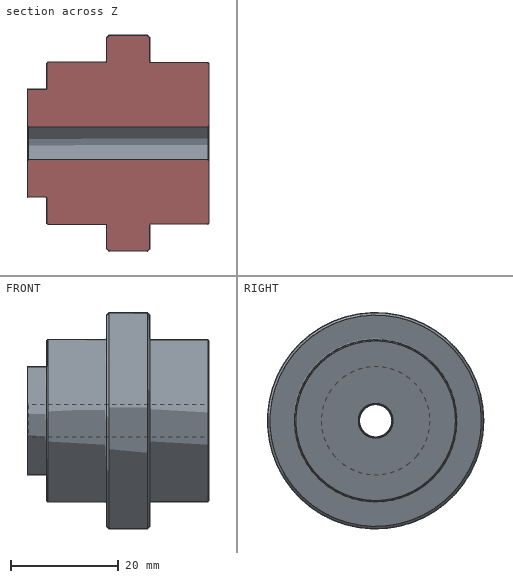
import cadquery as cq

flange_diameter = 40.3
front_hub_diameter = 30.3
rear_hub_diameter = 30.2
spigot_diameter = 20.2
bore_diameter = 6.0

total_length = 33.8
spigot_length = 3.6
front_hub_length = 11.12
flange_width = 8.1

flange_chamfer = 0.5
hub_chamfer = 0.25
bore_chamfer = 0.25
root_fillet = 0.2

flange_start = spigot_length + front_hub_length
flange_end = flange_start + flange_width
rear_hub_length = total_length - flange_end


def cylinder(start, length, diameter):
    """Solid cylinder on the X axis, beginning at X = start."""
    return cq.Workplane("YZ", origin=(start, 0, 0)).circle(diameter / 2).extrude(length)


def root_edge(body, x, diameter):
    """Circular edge of the given diameter at position x."""
    margin = root_fillet / 2
    half_side = diameter / 2 + margin
    return body.edges(
        cq.selectors.BoxSelector(
            (x - margin, -half_side, -half_side),
            (x + margin, half_side, half_side),
            boundingbox=True,
        )
    )


spigot = cylinder(0, spigot_length, spigot_diameter)
front_hub = (
    cylinder(spigot_length, front_hub_length, front_hub_diameter)
    .faces("<X").edges().chamfer(hub_chamfer)
)
flange = cylinder(flange_start, flange_width, flange_diameter).edges("%CIRCLE").chamfer(flange_chamfer)
rear_hub = (
    cylinder(flange_end, rear_hub_length, rear_hub_diameter)
    .faces(">X").edges().chamfer(hub_chamfer)
)
body = spigot.union(front_hub).union(flange).union(rear_hub)

for x, diameter in (
    (spigot_length, spigot_diameter),
    (flange_start, front_hub_diameter),
    (flange_end, rear_hub_diameter),
):
    body = root_edge(body, x, diameter).fillet(root_fillet)

body = body.cut(cylinder(0, total_length, bore_diameter))
for end_face in ("<X", ">X"):
    body = body.faces(end_face).edges(cq.selectors.RadiusNthSelector(0)).chamfer(bore_chamfer)

result = body